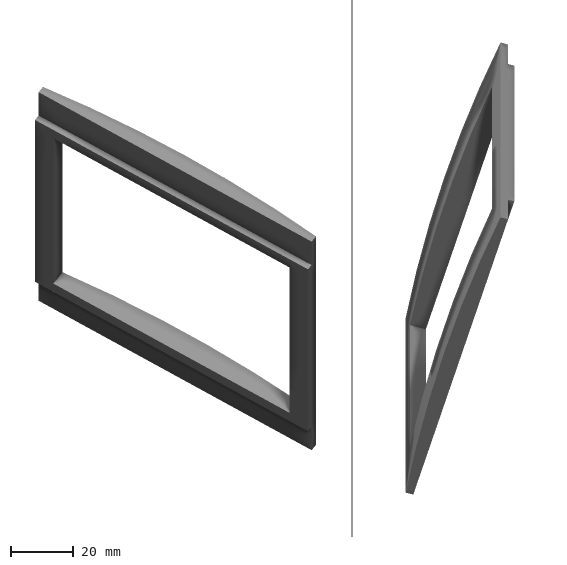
import cadquery as cq

width = 104.5
depth = 7.5
height = 114.3

edge_depth = 4.6
step_depth = 2.1
raised_height = 88.7

window_width = 90.4
window_height = 79.7


def crowned_plate():
    """Plate with a flat front at Y = 0 and a back that bulges along X."""
    half_width = width / 2
    return (
        cq.Workplane("XY")
        .moveTo(-half_width, 0)
        .lineTo(half_width, 0)
        .lineTo(half_width, edge_depth)
        .threePointArc((0, depth), (-half_width, edge_depth))
        .close()
        .extrude(height / 2, both=True)
    )


def front_rebate(side):
    """Strip removed from the front face at the top (1) or bottom (-1)."""
    strip_height = (height - raised_height) / 2
    strip_center = side * (raised_height + strip_height) / 2
    return (
        cq.Workplane("XY")
        .box(width, step_depth, strip_height)
        .translate((0, step_depth / 2, strip_center))
    )


def window():
    """Block that opens the frame from front to back."""
    return (
        cq.Workplane("XY")
        .box(window_width, depth, window_height)
        .translate((0, depth / 2, 0))
    )


result = crowned_plate().cut(window())
for side in (-1, 1):
    result = result.cut(front_rebate(side))